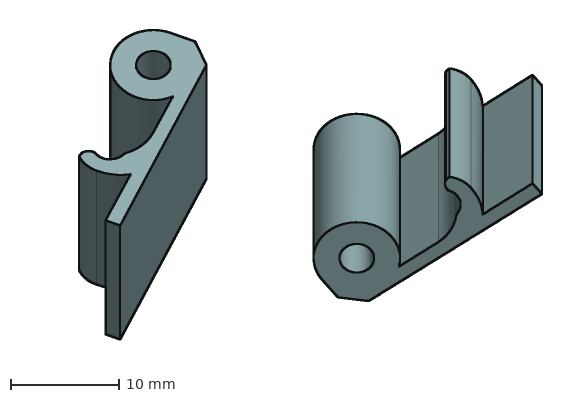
import cadquery as cq

length = 22.0
width = 8.5
height = 18.0

barrel_radius = 4.0
bore_diameter = 3.2
corner_chamfer = 2.02

plate_root_thickness = 1.4
plate_end_thickness = 1.47
plate_back = width - barrel_radius
plate_end = barrel_radius - length
plate_root = plate_back - plate_root_thickness


def inner_face(y):
    """Point on the sloping inner face of the plate at a given Y."""
    growth = plate_end_thickness - plate_root_thickness
    return (plate_root - growth * y / plate_end, y)


fillet_start = inner_face(-7.13)
fillet_middle = (2.68, -8.78)
fillet_end = (1.67, -10.2)
throat_start = (1.5, -10.52)
throat_bottom = (0, -11.6)
throat_end = (-1.01, -11.29)
tip_crown = (-1.58, -11.37)
tip_top = (-2.1, -11.84)
tip_bottom = (-2.15, -12.28)
underside_left = (-1.23, -12.9)
underside_bottom = (0, -13.13)
underside_right = (1.6, -12.91)
hook_root = inner_face(-12.25)


def make_barrel():
    """Round barrel with a solid square corner joining it to the plate."""
    barrel = cq.Workplane("XY").circle(barrel_radius).extrude(height)
    corner = (
        cq.Workplane("XY")
        .rect(plate_back, barrel_radius, centered=False)
        .extrude(height)
        .edges("|Z and >X and >Y")
        .chamfer(corner_chamfer)
    )
    return barrel.union(corner)


def make_plate():
    """Back plate running from the barrel axis to the free end."""
    outline = [
        inner_face(0),
        (plate_back, 0),
        (plate_back, plate_end),
        inner_face(plate_end),
    ]
    return cq.Workplane("XY").polyline(outline).close().extrude(height)


def make_hook():
    """Curved hook, closed inside the plate so the two bodies overlap."""
    overlap_x = plate_back - plate_root_thickness / 2
    return (
        cq.Workplane("XY")
        .moveTo(*fillet_start)
        .threePointArc(fillet_middle, fillet_end)
        .lineTo(*throat_start)
        .threePointArc(throat_bottom, throat_end)
        .threePointArc(tip_crown, tip_top)
        .lineTo(*tip_bottom)
        .threePointArc(underside_left, underside_bottom)
        .threePointArc(underside_right, hook_root)
        .lineTo(overlap_x, hook_root[1])
        .lineTo(overlap_x, fillet_start[1])
        .close()
        .extrude(height)
    )


bore = cq.Workplane("XY").circle(bore_diameter / 2).extrude(height)
result = make_barrel().union(make_plate()).union(make_hook()).cut(bore)